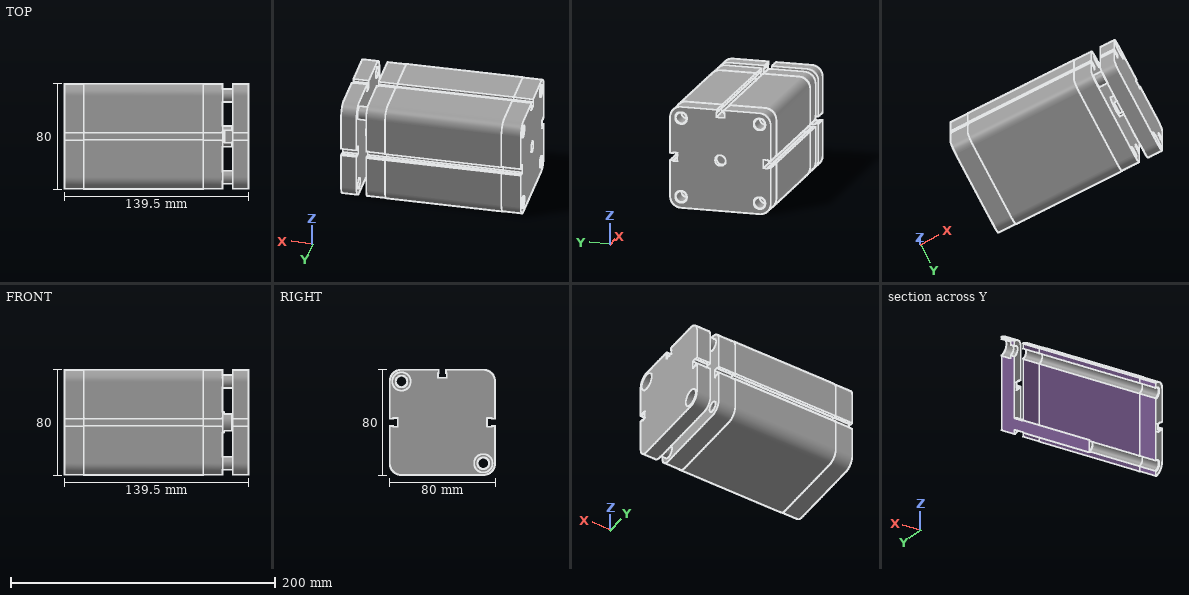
import cadquery as cq
total_length = 139.5
rear_cap_length = 14.9
front_cap_length = 14.6
plate_gap = 7.5
plate_thickness = 12.0
plate_start = total_length - plate_thickness
body_length = plate_start - plate_gap
front_cap_start = body_length - front_cap_length
barrel_length = front_cap_start - rear_cap_length

barrel_side = 80.0
barrel_corner_radius = 8.9
cap_step = 0.21
cap_side = barrel_side - 2 * cap_step
cap_corner_radius = barrel_corner_radius - cap_step

slot_depth = 6.1
slot_lip = 2.7
slot_undercut = 0.49
barrel_slot_mouth = 5.3
cap_slot_mouth = 5.7
slot_turns = (0, 90, -90)

corner_offset = 31.0
hole_diameter = 8.5
hole_chamfer = 0.49
plate_neck_length = 3.6
plate_counterbore_diameter = 14.0
centre_hole_diameter = 8.4
centre_hole_depth = 4.2

guide_diameter = 10.0
rod_reach = barrel_length / 2
guide_start = front_cap_start - rod_reach
guide_places = [(corner_offset, corner_offset), (-corner_offset, -corner_offset)]
open_places = [(corner_offset, -corner_offset), (-corner_offset, corner_offset)]

piston_diameter = 16.0
piston_start = front_cap_start - rod_reach
piston_chamfer = 0.5
flats_width = 13.0
collar_length = 1.4
collar_slope = 0.5


def cylinder(diameter, start, depth, y=0.0, z=0.0):
    return cq.Workplane("YZ", origin=(start, y, z)).circle(diameter / 2).extrude(depth)


def slot_cutter(start, depth, mouth):
    """T-slot open to the top, with its floor below the barrel surface."""
    top = barrel_side / 2
    floor = top - slot_depth
    under_lip = top - slot_lip
    half_mouth = mouth / 2
    half_width = half_mouth + slot_undercut
    return (
        cq.Workplane("YZ", origin=(start, 0, 0))
        .moveTo(-half_mouth, top)
        .lineTo(-half_mouth, under_lip)
        .lineTo(-half_width, under_lip)
        .lineTo(-half_width, floor)
        .lineTo(half_width, floor)
        .lineTo(half_width, under_lip)
        .lineTo(half_mouth, under_lip)
        .lineTo(half_mouth, top)
        .close()
        .extrude(depth)
    )


def slotted_block(start, depth, side, corner_radius, mouth):
    block = cq.Workplane("YZ", origin=(start, 0, 0)).rect(side, side).extrude(depth)
    block = block.edges("|X").fillet(corner_radius)
    cutter = slot_cutter(start, depth, mouth)
    for turn in slot_turns:
        block = block.cut(cutter.rotate((0, 0, 0), (1, 0, 0), turn))
    return block


def cap_block(start, depth):
    return slotted_block(start, depth, cap_side, cap_corner_radius, cap_slot_mouth)


def chamfered_hole(start, depth, y, z):
    """Hole cutter whose mouth at the start is widened by a chamfer."""
    mouth = cq.Workplane("YZ", origin=(start, y, z)).circle(hole_diameter / 2 + hole_chamfer)
    mouth = mouth.workplane(offset=hole_chamfer).circle(hole_diameter / 2).loft()
    return cylinder(hole_diameter, start, depth, y, z).union(mouth)


def corner_hole_cutters():
    """Chamfered holes through the caps and the barrel; on the guide diagonal they end at the guide bores."""
    cutters = [chamfered_hole(0, guide_start, y, z) for y, z in guide_places]
    cutters += [chamfered_hole(0, body_length, y, z) for y, z in open_places]
    return cutters


def rod_bore_cutters():
    """Bores that hold the guide rods and the piston rod."""
    cutters = [cylinder(guide_diameter, guide_start, body_length - guide_start, y, z) for y, z in guide_places]
    cutters.append(cylinder(piston_diameter, piston_start, body_length - piston_start))
    return cutters


def cut_all(body, cutters):
    for cutter in cutters:
        body = body.cut(cutter)
    return body


def make_rear_cap():
    cap = cap_block(0, rear_cap_length)
    cap = cut_all(cap, corner_hole_cutters())
    return cap.cut(cylinder(centre_hole_diameter, 0, centre_hole_depth))


def make_barrel():
    barrel = slotted_block(
        rear_cap_length, barrel_length, barrel_side, barrel_corner_radius, barrel_slot_mouth
    )
    return cut_all(barrel, corner_hole_cutters() + rod_bore_cutters())


def make_front_cap():
    cap = cap_block(front_cap_start, front_cap_length)
    return cut_all(cap, corner_hole_cutters() + rod_bore_cutters())


def make_yoke():
    """Front plate in one piece with its two guide rods."""
    yoke = cap_block(plate_start, plate_thickness)
    counterbore_start = plate_start + plate_neck_length
    counterbore_depth = plate_thickness - plate_neck_length
    for y, z in open_places:
        yoke = yoke.cut(cylinder(hole_diameter, plate_start, plate_thickness, y, z))
        yoke = yoke.cut(cylinder(plate_counterbore_diameter, counterbore_start, counterbore_depth, y, z))
    for y, z in guide_places:
        yoke = yoke.union(cylinder(guide_diameter, guide_start, plate_start - guide_start, y, z))
    return yoke


def make_piston_rod():
    rod = cylinder(piston_diameter, piston_start, plate_start - piston_start)
    rod = rod.faces(">X").chamfer(piston_chamfer)
    collar_end = body_length + collar_length
    flat_height = flats_width / 2
    rim_height = piston_diameter / 2
    flat_cutter = (
        cq.Workplane("XZ")
        .moveTo(collar_end, flat_height)
        .lineTo(plate_start, flat_height)
        .lineTo(plate_start, rim_height)
        .lineTo(collar_end - collar_slope, rim_height)
        .close()
        .extrude(piston_diameter / 2, both=True)
    )
    for turn in (0, 180):
        rod = rod.cut(flat_cutter.rotate((0, 0, 0), (1, 0, 0), turn))
    return rod


rear_cap = make_rear_cap()
barrel = make_barrel()
front_cap = make_front_cap()
yoke = make_yoke()
piston_rod = make_piston_rod()

result = cq.Compound.makeCompound(
    [rear_cap.val(), barrel.val(), front_cap.val(), yoke.val(), piston_rod.val()]
)